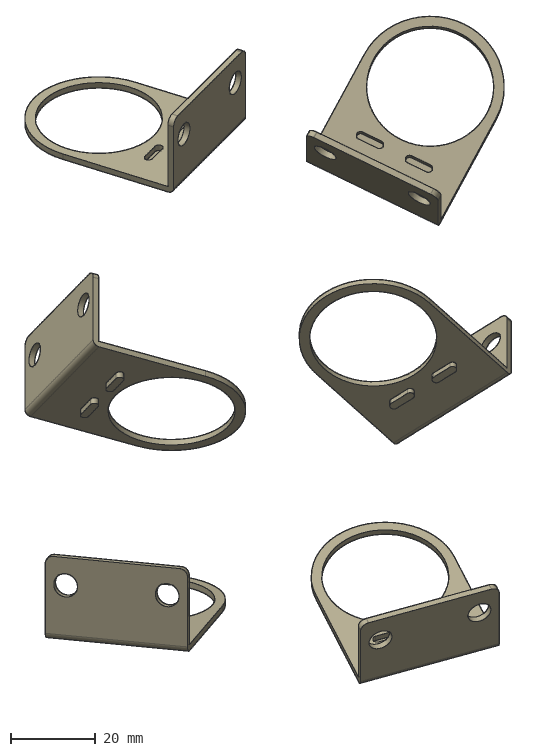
import cadquery as cq

length = 47.5
width = 35.0
thickness = 1.55
wall_height = 21.0
bend_radius = 1.5

ring_radius = width / 2
ring_bore = 30.0
wall_outer_x = length - ring_radius

wall_corner_radius = 2.0
mount_hole = 5.8
mount_spacing = 25.0
mount_height = 14.0

peg_x = 18.5
peg_spacing = 13.0
peg_length = 7.0
peg_width = 2.0
peg_drop = 1.5
slot_depth = peg_drop


def make_plate():
    """Flat plate with a full round end and a large bore."""
    straight = cq.Workplane("XY").box(wall_outer_x, width, thickness, centered=(False, True, False))
    ring = cq.Workplane("XY").circle(ring_radius).extrude(thickness)
    bore = cq.Workplane("XY").circle(ring_bore / 2).extrude(thickness)
    return straight.union(ring).cut(bore)


def make_wall():
    """Upright wall with rounded top corners and two mounting holes."""
    wall = (
        cq.Workplane("XY")
        .box(thickness, width, wall_height, centered=(False, True, False))
        .edges("|X and >Z")
        .fillet(wall_corner_radius)
    )
    holes = (
        cq.Workplane("YZ")
        .pushPoints([(side * mount_spacing / 2, mount_height) for side in (-1, 1)])
        .circle(mount_hole / 2)
        .extrude(thickness)
    )
    return wall.cut(holes).translate((wall_outer_x - thickness, 0, 0))


def peg_shapes(bottom, height):
    """Pair of round-ended bars running along Y."""
    return (
        cq.Workplane("XY", origin=(0, 0, bottom))
        .pushPoints([(peg_x, side * peg_spacing / 2) for side in (-1, 1)])
        .slot2D(peg_length, peg_width, 90)
        .extrude(height)
    )


bracket = make_plate().union(make_wall())
bracket = bracket.edges("|Y and >X and <Z").fillet(bend_radius)
slot_floor = thickness - slot_depth
pegs = peg_shapes(-peg_drop, peg_drop + slot_floor)
slots = peg_shapes(slot_floor, slot_depth)
result = bracket.cut(slots).union(pegs)